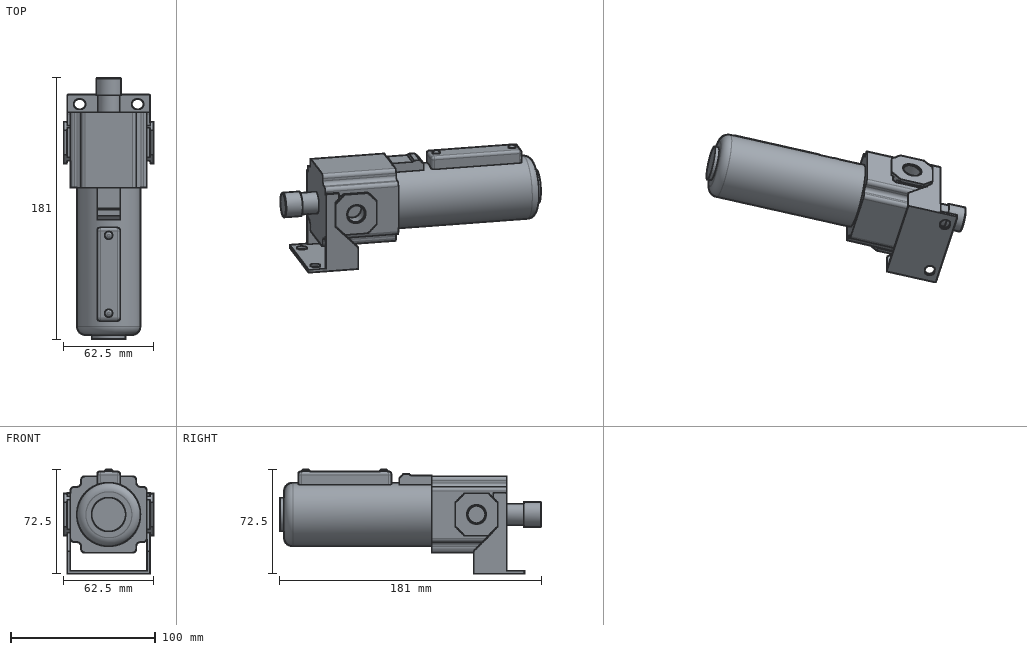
import cadquery as cq


body_width = 53.0
body_half = body_width / 2
body_length = 52.1
corner_step = 19.2
step_inner_radius = 2.9
step_outer_radius = 2.7

bowl_radius = 22.0
bowl_length = 102.3
bowl_edge_radius = 6.2
hub_radius = 11.8
hub_length = 2.7
bowl_front = -(body_length + bowl_length)

stem_radius = 7.6
stem_length = 11.8
knob_radius = 8.7
knob_length = 12.1
knob_chamfer = 0.5

port_y = -21.0
flange_width = 29.1
flange_cut = 6.2
port_span = 62.5
flange_face_x = port_span / 2
flange_rim = 2.2
flange_root = 2.7
neck_width = 25.3
port_radius = 6.7
port_chamfer = 0.7
port_depth = 10.9

plate = 2.2
bracket_bottom = -41.0
bracket_top = 15.0
bracket_tab = 9.5
bracket_depth = 23.0
bracket_kink_z = -25.3
foot_length = 12.3
bracket_corner = 0.9
slot_x = 20.1
slot_y = 5.6
slot_length = 8.0
slot_width = 6.9
bracket_half = body_half + plate

block_width = 16.1
block_half = block_width / 2
latch_length = 22.5
latch_top = 27.2
latch_ridge_top = 28.0
ridge_start = 14.3
ridge_rise = 1.3
ridge_flat = 4.0
latch_nose_z = 25.2
window_length = 64.8
window_start = 27.7
window_top = 29.9
window_radius = 2.2

screw_inset = 5.5
screw_radius = 2.7
screw_height = 1.6
screw_flat_radius = 0.9
screw_rim = 0.4
screw_bulge = 0.2


def cylinder(radius, rear, front):
    """Round bar along the main axis, from rear to front."""
    return cq.Workplane("XZ", origin=(0, rear, 0)).circle(radius).extrude(rear - front)


def make_body():
    """Cross-shaped extrusion with rounded inner and outer corners."""
    step = 2 * corner_step
    tall = cq.Workplane("XZ").rect(step, body_width).extrude(body_length)
    wide = cq.Workplane("XZ").rect(body_width, step).extrude(body_length)
    tall = tall.edges("|Y").fillet(step_outer_radius)
    wide = wide.edges("|Y").fillet(step_outer_radius)
    inner_corners = cq.selectors.BoxSelector(
        (-body_half + step_outer_radius, -body_length, -body_half + step_outer_radius),
        (body_half - step_outer_radius, 0, body_half - step_outer_radius),
    )
    return tall.union(wide).edges("|Y").edges(inner_corners).fillet(step_inner_radius)


def make_bowl():
    bowl = cylinder(bowl_radius, -body_length, bowl_front).faces("<Y").edges().fillet(bowl_edge_radius)
    return bowl.union(cylinder(hub_radius, bowl_front, bowl_front - hub_length))


def make_knob():
    stem = cylinder(stem_radius, stem_length, 0)
    knob = cylinder(knob_radius, stem_length + knob_length, stem_length)
    return stem.union(knob.faces(">Y").edges().chamfer(knob_chamfer))


def make_port():
    """Octagonal boss on the -X side, grooved along its four straight edges."""
    boss_height = flange_face_x - body_half
    base = cq.Workplane("YZ", origin=(-body_half, port_y, 0))
    boss = base.rect(flange_width, flange_width).extrude(-boss_height)
    boss = boss.edges("|X").chamfer(flange_cut)
    neck = base.rect(neck_width, neck_width).extrude(-boss_height)
    flare = (
        cq.Workplane("YZ", origin=(flange_root - flange_face_x, port_y, 0))
        .rect(neck_width, neck_width)
        .workplane(offset=flange_rim - flange_root)
        .rect(flange_width, flange_width)
        .loft(ruled=True)
    )
    rim = (
        cq.Workplane("YZ", origin=(-flange_face_x, port_y, 0))
        .rect(flange_width, flange_width)
        .extrude(flange_rim)
    )
    return boss.intersect(neck.union(flare).union(rim))


def make_port_hole():
    """Blind round hole from the -X side with a chamfered mouth."""
    hole = (
        cq.Workplane("YZ", origin=(-flange_face_x, port_y, 0))
        .circle(port_radius - port_chamfer)
        .extrude(port_depth)
    )
    mouth = cq.Solid.makeCone(
        port_radius,
        port_radius - port_chamfer,
        port_chamfer,
        cq.Vector(-flange_face_x, port_y, 0),
        cq.Vector(1, 0, 0),
    )
    return hole.union(cq.Workplane(mouth))


def make_bracket():
    """U-shaped bracket: two side plates joined by a floor that runs back into a slotted foot."""
    slope_run = bracket_depth - bracket_tab
    outline = [
        (0, bracket_bottom),
        (0, bracket_top),
        (-bracket_tab, bracket_top),
        (-bracket_tab, bracket_kink_z + slope_run),
        (-bracket_depth, bracket_kink_z),
        (-bracket_depth, bracket_bottom),
    ]
    side = cq.Workplane("YZ", origin=(body_half, 0, 0)).polyline(outline).close().extrude(plate)
    side = side.faces(">Z").edges("|X").fillet(bracket_corner)
    floor = (
        cq.Workplane("XY", origin=(0, 0, bracket_bottom))
        .moveTo(0, (foot_length - bracket_depth) / 2)
        .rect(2 * bracket_half, foot_length + bracket_depth)
        .extrude(plate)
    )
    floor = floor.faces(">Y").edges("|Z").fillet(bracket_corner)
    slots = (
        cq.Workplane("XY", origin=(0, 0, bracket_bottom))
        .pushPoints([(-slot_x, slot_y), (slot_x, slot_y)])
        .slot2D(slot_length, slot_width)
        .extrude(plate)
    )
    return floor.cut(slots).union(side).union(side.mirror("YZ"))


def make_latch():
    """Flat latch ending in a raised ridge with a sloping nose."""
    ridge_y = -(body_length + ridge_start)
    ridge_front = ridge_y - ridge_rise - ridge_flat
    nose_y = -(body_length + latch_length)
    profile = [
        (-body_length, 0),
        (-body_length, latch_top),
        (ridge_y, latch_top),
        (ridge_y - ridge_rise, latch_ridge_top),
        (ridge_front, latch_ridge_top),
        (nose_y, latch_nose_z),
        (nose_y, 0),
    ]
    return cq.Workplane("YZ").polyline(profile).close().extrude(block_half, both=True)


def make_window():
    """Rounded bar along the top of the bowl, held by two domed screws."""
    window_rear = -(body_length + window_start)
    window_mid = window_rear - window_length / 2
    window = (
        cq.Workplane("XY")
        .moveTo(0, window_mid)
        .rect(block_width, window_length)
        .extrude(window_top)
        .edges("|Z or >Z")
        .fillet(window_radius)
    )
    screw_reach = window_length / 2 - screw_inset
    for side in (-1, 1):
        window = window.union(make_screw().translate((0, window_mid + side * screw_reach, window_top)))
    return window


def make_screw():
    """Domed head with a small flat crown."""
    slope_middle = (
        (screw_radius + screw_flat_radius) / 2 + screw_bulge,
        (screw_rim + screw_height) / 2 + screw_bulge,
    )
    return (
        cq.Workplane("XZ")
        .lineTo(screw_radius, 0)
        .lineTo(screw_radius, screw_rim)
        .threePointArc(slope_middle, (screw_flat_radius, screw_height))
        .lineTo(0, screw_height)
        .close()
        .revolve(360, (0, 0), (0, 1))
    )


port = make_port()
port_hole = make_port_hole()

result = make_body().union(make_bowl()).union(make_knob()).union(make_latch()).union(make_window())
result = result.union(make_bracket()).union(port).union(port.mirror("YZ"))
result = result.cut(port_hole).cut(port_hole.mirror("YZ"))